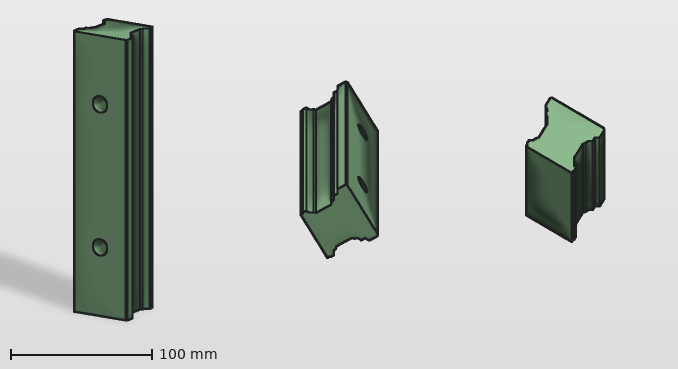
import cadquery as cq
import math

base_width = 45.0
rail_height = 39.85
rail_length = 206.0
half_base = base_width / 2
half_length = rail_length / 2

base_chamfer = 1.0
flange_height = 7.5
flange_slope_rise = 1.8

head_width = 39.0
waist_width = 29.2
waist_middle = 23.6
ledge_offset = 11.15
waist_chamfer = 1.4
waist_flat = 12.2
race_sagitta = 0.85
half_head = head_width / 2
half_waist = waist_width / 2
chamfer_offset = waist_flat / 2
race_offset = chamfer_offset + waist_chamfer
half_race = half_waist + waist_chamfer

top_chamfer = 0.3
lip_width = 38.2
corner_groove_height = 2.3
corner_groove_depth = 0.5
half_lip = lip_width / 2

hole_diameter = 12.0
hole_depth = 24.0
hole_pitch = 105.0
drill_point_angle = 82.0


def arc_middle(start, end, sagitta):
    """Middle point of an arc that bulges to the left of the line from start to end."""
    dx = end[0] - start[0]
    dy = end[1] - start[1]
    chord = math.hypot(dx, dy)
    middle_x = (start[0] + end[0]) / 2 - sagitta * dy / chord
    middle_y = (start[1] + end[1]) / 2 + sagitta * dx / chord
    return middle_x, middle_y


def make_half_rail():
    """The +X half of the rail, with its base on Y = 0 and centred on Z = 0."""
    lower_ledge = (half_head, waist_middle - ledge_offset)
    lower_race_end = (half_race, waist_middle - race_offset)
    upper_race_end = (half_race, waist_middle + race_offset)
    upper_ledge = (half_head, waist_middle + ledge_offset)
    groove_start = (half_head, rail_height - corner_groove_height)
    groove_end = (half_lip, rail_height - top_chamfer)
    profile = (
        cq.Workplane("XY")
        .moveTo(0, 0)
        .lineTo(half_base - base_chamfer, 0)
        .lineTo(half_base, base_chamfer)
        .lineTo(half_base, flange_height)
        .lineTo(half_head, flange_height + flange_slope_rise)
        .lineTo(*lower_ledge)
        .threePointArc(arc_middle(lower_ledge, lower_race_end, race_sagitta), lower_race_end)
        .lineTo(half_waist, waist_middle - chamfer_offset)
        .lineTo(half_waist, waist_middle + chamfer_offset)
        .lineTo(*upper_race_end)
        .threePointArc(arc_middle(upper_race_end, upper_ledge, race_sagitta), upper_ledge)
        .lineTo(*groove_start)
        .threePointArc(arc_middle(groove_start, groove_end, corner_groove_depth), groove_end)
        .lineTo(half_lip - top_chamfer, rail_height)
        .lineTo(0, rail_height)
        .close()
    )
    return profile.extrude(half_length, both=True)


def make_hole(z):
    """Drilled hole with a conical end, bored along +Y from the base at height z."""
    radius = hole_diameter / 2
    point_length = radius / math.tan(math.radians(drill_point_angle / 2))
    section = (
        cq.Workplane("XY")
        .polyline([(0, 0), (radius, 0), (radius, hole_depth), (0, hole_depth + point_length)])
        .close()
    )
    return section.revolve(360, (0, 0), (0, 1)).translate((0, 0, z))


half_rail = make_half_rail()
result = half_rail.union(half_rail.mirror("YZ")).clean()
for hole_z in (-hole_pitch / 2, hole_pitch / 2):
    result = result.cut(make_hole(hole_z))